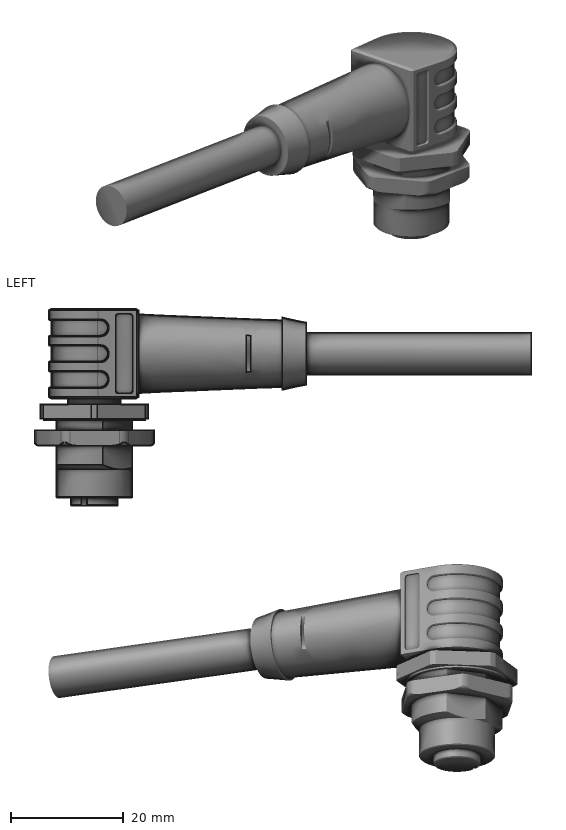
import cadquery as cq
import math


overall_length = 88.0
overall_height = 34.9

head_height = 15.9
head_radius = 8.1
head_front_y = -7.8
head_side_taper = math.radians(4)
head_chamfer_width = 0.5
head_chamfer_depth = 0.31
half_height = head_height / 2

groove_pitch = 4.6
groove_height = 2.7
groove_depth = 0.48
groove_end_y = -2.4
groove_edge_chamfer = 0.2

panel_back_y = -3.8
panel_front_y = -6.8
panel_height = 14.1
panel_depth = 0.5
panel_corner_radius = 0.5

sleeve_start_diameter = 14.0
sleeve_end_diameter = 11.9
sleeve_notch_y = -27.3
sleeve_notch_width = 0.8
sleeve_notch_half_span = 5.3
collar_start_y = -33.3
collar_end_y = -37.6
collar_start_diameter = 12.85
collar_end_diameter = 11.0
cable_diameter = 7.5

flange_top_z = -9.0
flange_bottom_z = -11.5
washer_bottom_z = -11.8
nut_top_z = -13.55
nut_bottom_z = -16.3
body_bottom_z = -19.7
barrel_top_z = -20.5
barrel_bottom_z = -25.5
insert_bottom_z = half_height - overall_height

neck_diameter = 9.4
flange_across_flats = 19.1
flange_corner_diameter = 21.5
washer_diameter = 17.95
nut_across_flats = 18.8
nut_corner_radius = 1.85
nut_rounding = 0.7
nut_across_corners = nut_across_flats / math.cos(math.pi / 6)
nut_tip_radius = nut_across_corners / 2 - nut_corner_radius * (1 / math.cos(math.pi / 6) - 1)
body_diameter = 16.4
barrel_diameter = 13.5
barrel_chamfer = 0.2
insert_diameter = 8.4
insert_chamfer = 0.2
keyway_width = 1.1
keyway_y = 1.85

cable_end_y = nut_tip_radius - overall_length


def disc(diameter, top_z, bottom_z):
    """Cylinder on the plug axis between two levels."""
    return cq.Workplane("XY").workplane(offset=bottom_z).circle(diameter / 2).extrude(top_z - bottom_z)


def hexagon(across_flats, top_z, bottom_z):
    """Hexagonal plate with corners on the X axis."""
    across_corners = across_flats / math.cos(math.pi / 6)
    plate = cq.Workplane("XY").workplane(offset=bottom_z).polygon(6, across_corners)
    return plate.extrude(top_z - bottom_z)


def head_outline(inset):
    """D shape: round at the back, sides tapering to a flat front with chamfered corners."""
    radius = head_radius - inset
    tangent_x = radius * math.cos(head_side_taper)
    tangent_y = -radius * math.sin(head_side_taper)
    corner_y = head_front_y + head_chamfer_depth
    corner_x = tangent_x + (corner_y - tangent_y) * math.tan(head_side_taper)
    front_x = corner_x - head_chamfer_width
    return (
        cq.Workplane("XY")
        .moveTo(front_x, head_front_y)
        .lineTo(corner_x, corner_y)
        .lineTo(tangent_x, tangent_y)
        .threePointArc((0, radius), (-tangent_x, tangent_y))
        .lineTo(-corner_x, corner_y)
        .lineTo(-front_x, head_front_y)
        .close()
    )


def head_prism(inset, height):
    """Straight prism of the head outline, centred on the cable axis."""
    return head_outline(inset).extrude(height / 2, both=True)


def groove_cutter(center_z):
    """Band around the back of the head with round front ends."""
    reach = 2 * head_radius
    end_radius = groove_height / 2
    arc_y = groove_end_y + end_radius
    band = (
        cq.Workplane("YZ")
        .moveTo(reach, center_z - end_radius)
        .lineTo(arc_y, center_z - end_radius)
        .threePointArc((groove_end_y, center_z), (arc_y, center_z + end_radius))
        .lineTo(reach, center_z + end_radius)
        .close()
        .extrude(reach, both=True)
    )
    return band.cut(head_prism(groove_depth, head_height))


def panel_cutter(side):
    """Shallow rounded rectangle following one tapered side (side is +1 or -1)."""
    reach = 2 * head_radius
    window = (
        cq.Workplane("XY")
        .box(reach, panel_back_y - panel_front_y, panel_height)
        .edges("|X")
        .fillet(panel_corner_radius)
        .translate((side * reach / 2, (panel_back_y + panel_front_y) / 2, 0))
    )
    return window.cut(head_prism(panel_depth, head_height))


def make_head():
    """Grooved head with sloped rims at both ends and a panel on each side."""
    wall_height = head_height - 2 * head_chamfer_depth
    head = head_prism(0, wall_height)
    for step in (-1, 0, 1):
        head = head.cut(groove_cutter(step * groove_pitch))

    core = head_prism(groove_depth, head_height).val()
    head = (
        head.edges("not |Z")
        .filter(lambda edge: edge.distance(core) > groove_depth / 2)
        .filter(lambda edge: abs(edge.Center().z) < groove_pitch + groove_height)
        .chamfer(groove_edge_chamfer)
    )

    rim_angle = math.degrees(math.atan2(head_chamfer_width, head_chamfer_depth))
    rim = head_outline(0).extrude(head_chamfer_depth, taper=rim_angle)
    rim = rim.translate((0, 0, wall_height / 2))
    head = head.union(rim).union(rim.mirror("XY"))
    for side in (-1, 1):
        head = head.cut(panel_cutter(side))
    return head


def make_cable_side():
    """Tapered sleeve, collar and cable turned about the cable axis."""
    turned = (
        cq.Workplane("XY")
        .moveTo(0, 0)
        .lineTo(0, cable_end_y)
        .lineTo(cable_diameter / 2, cable_end_y)
        .lineTo(cable_diameter / 2, collar_end_y)
        .lineTo(collar_end_diameter / 2, collar_end_y)
        .lineTo(collar_start_diameter / 2, collar_start_y)
        .lineTo(sleeve_end_diameter / 2, collar_start_y)
        .lineTo(sleeve_start_diameter / 2, head_front_y)
        .lineTo(sleeve_start_diameter / 2, 0)
        .close()
        .revolve(360, (0, 0, 0), (0, 1, 0))
    )
    for side in (-1, 1):
        notch_center_x = side * (sleeve_notch_half_span + sleeve_start_diameter / 2)
        notch = cq.Workplane("XY").box(sleeve_start_diameter, sleeve_notch_width, sleeve_start_diameter)
        turned = turned.cut(notch.translate((notch_center_x, sleeve_notch_y, 0)))
    return turned


def make_flange():
    """Hexagonal flange with its corners turned off to a circle."""
    flange = hexagon(flange_across_flats, flange_top_z, flange_bottom_z)
    return flange.intersect(disc(flange_corner_diameter, flange_top_z, flange_bottom_z))


def make_nut():
    """Hexagonal nut with corners on the Y axis, rounded off underneath."""
    nut = hexagon(nut_across_flats, nut_top_z, nut_bottom_z)
    nut = nut.rotate((0, 0, 0), (0, 0, 1), 90).edges("|Z").fillet(nut_corner_radius)
    envelope = (
        disc(2 * nut_tip_radius, nut_top_z, nut_bottom_z)
        .faces("<Z")
        .edges()
        .fillet(nut_rounding)
    )
    return nut.intersect(envelope)


def make_body():
    """Round body with two pairs of flats, level with the barrel, and a conical end."""
    cone = cq.Workplane("XY").add(
        cq.Solid.makeCone(
            barrel_diameter / 2,
            body_diameter / 2,
            body_bottom_z - barrel_top_z,
            cq.Vector(0, 0, barrel_top_z),
        )
    )
    body = disc(body_diameter, washer_bottom_z, body_bottom_z).union(cone)
    height = washer_bottom_z - barrel_top_z
    slab = cq.Workplane("XY").box(2 * body_diameter, barrel_diameter, height)
    slab = slab.translate((0, 0, (washer_bottom_z + barrel_top_z) / 2))
    for angle in (0, -45):
        body = body.intersect(slab.rotate((0, 0, 0), (0, 0, 1), angle))
    return body


def make_insert():
    """Contact insert with a small keyway in its rim."""
    insert = disc(insert_diameter, barrel_bottom_z, insert_bottom_z).faces("<Z").chamfer(insert_chamfer)
    keyway_x = -math.sqrt((insert_diameter / 2) ** 2 - keyway_y**2)
    keyway = disc(keyway_width, barrel_bottom_z, insert_bottom_z)
    return insert.cut(keyway.translate((keyway_x, keyway_y, 0)))


result = make_head()
for piece in (
    make_cable_side(),
    disc(neck_diameter, 0, flange_top_z),
    make_flange(),
    disc(washer_diameter, flange_bottom_z, washer_bottom_z),
    make_body(),
    make_nut(),
    disc(barrel_diameter, barrel_top_z, barrel_bottom_z).faces("<Z").chamfer(barrel_chamfer),
    make_insert(),
):
    result = result.union(piece)